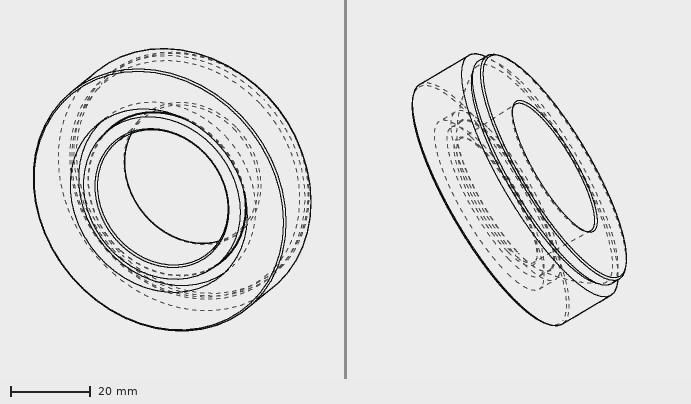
import cadquery as cq
import math


HOUSING_RADIUS = 35.0
HOUSING_RIM_Y = 15.3
HOUSING_BACK_Y = 15.95
HOUSING_BACK_RADIUS = 32.2
EDGE_CHAMFER = 0.5
RECESS_RADIUS = 24.5
RECESS_DEPTH = 5.0
FLOOR_INNER_RADIUS = 21.9

BORE_RADIUS = 18.05
BORE_BACK_RADIUS = 18.5
BORE_TAPER_Y = 7.7
NOSE_RADIUS = 21.7
NOSE_Y = 1.9
FLANGE_RADIUS = 32.55
FLANGE_BACK_Y = 19.9
FLANGE_FRONT_Y = 16.95
UNDERSIDE_END_RADIUS = FLANGE_RADIUS - (FLANGE_FRONT_Y - HOUSING_BACK_Y)

SEAT_CENTRE_Y = (
    UNDERSIDE_END_RADIUS**2 + HOUSING_BACK_Y**2 - FLOOR_INNER_RADIUS**2 - RECESS_DEPTH**2
) / (2 * (HOUSING_BACK_Y - RECESS_DEPTH))
SEAT_RADIUS = math.hypot(FLOOR_INNER_RADIUS, SEAT_CENTRE_Y - RECESS_DEPTH)


def seat_y(radius):
    """Y of the front half of the seat sphere at a given radius."""
    return SEAT_CENTRE_Y - math.sqrt(SEAT_RADIUS**2 - radius**2)


def seat_point(y):
    """Point of the seat sphere's half section at a given Y."""
    return (math.sqrt(SEAT_RADIUS**2 - (y - SEAT_CENTRE_Y)**2), y)


def revolve_about_y(profile):
    return profile.close().revolve(360, (0, 0, 0), (0, 1, 0))


def make_housing_washer():
    seat_middle = seat_point((RECESS_DEPTH + HOUSING_BACK_Y) / 2)
    profile = (
        cq.Workplane("XY")
        .moveTo(RECESS_RADIUS, 0)
        .lineTo(HOUSING_RADIUS - EDGE_CHAMFER, 0)
        .lineTo(HOUSING_RADIUS, EDGE_CHAMFER)
        .lineTo(HOUSING_RADIUS, HOUSING_RIM_Y)
        .lineTo(HOUSING_BACK_RADIUS, HOUSING_BACK_Y)
        .lineTo(UNDERSIDE_END_RADIUS, HOUSING_BACK_Y)
        .threePointArc(seat_middle, (FLOOR_INNER_RADIUS, RECESS_DEPTH))
        .lineTo(RECESS_RADIUS, RECESS_DEPTH)
    )
    return revolve_about_y(profile)


def make_shaft_washer():
    nose_end = (NOSE_RADIUS, seat_y(NOSE_RADIUS))
    ball_middle = seat_point((nose_end[1] + HOUSING_BACK_Y) / 2)
    profile = (
        cq.Workplane("XY")
        .moveTo(BORE_RADIUS + EDGE_CHAMFER, NOSE_Y)
        .lineTo(NOSE_RADIUS, NOSE_Y)
        .lineTo(*nose_end)
        .threePointArc(ball_middle, (UNDERSIDE_END_RADIUS, HOUSING_BACK_Y))
        .lineTo(FLANGE_RADIUS, FLANGE_FRONT_Y)
        .lineTo(FLANGE_RADIUS, FLANGE_BACK_Y - EDGE_CHAMFER)
        .lineTo(FLANGE_RADIUS - EDGE_CHAMFER, FLANGE_BACK_Y)
        .lineTo(BORE_BACK_RADIUS + EDGE_CHAMFER, FLANGE_BACK_Y)
        .lineTo(BORE_BACK_RADIUS, FLANGE_BACK_Y - EDGE_CHAMFER)
        .lineTo(BORE_RADIUS, BORE_TAPER_Y)
        .lineTo(BORE_RADIUS, NOSE_Y + EDGE_CHAMFER)
    )
    return revolve_about_y(profile)


housing_washer = make_housing_washer()
shaft_washer = make_shaft_washer()
result = cq.Compound.makeCompound([housing_washer.val(), shaft_washer.val()])